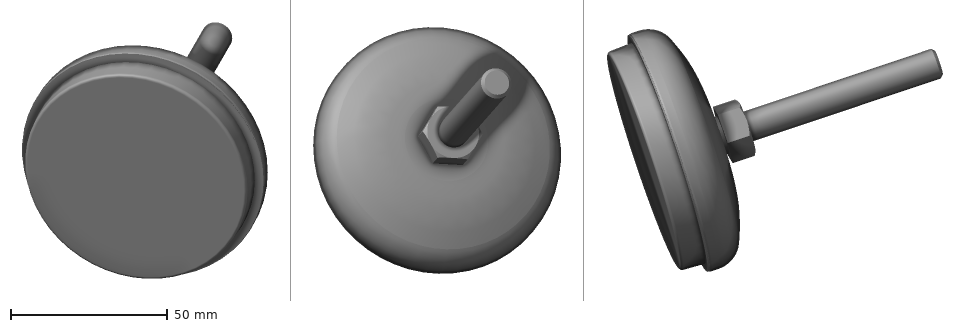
import cadquery as cq
import math

TOTAL_LENGTH = 100.0

PAD_FOOT_RADIUS = 36.9
PAD_NECK_RADIUS = 37.3
PAD_FILLET = 1.0
FLANGE_RADIUS = 40.0
FLANGE_BOTTOM = 8.2
FLANGE_BEVEL = 0.2

CAP_RADIUS = 80.5 / 2
CAP_BOTTOM = 8.7
LIP_BEVEL_WIDTH = 0.15
LIP_BEVEL_HEIGHT = 0.6
RIM_TOP = 12.0
SHOULDER_RADIUS = 9.2
CROWN_RADIUS = 50.0
CAP_TOP = 25.1

ROD_RADIUS = 5.0
ROD_CHAMFER = 1.0
COLLAR_RADIUS = 12.5 / 2

NUT_BOTTOM = 26.8
NUT_HEIGHT = 8.2
NUT_ACROSS_FLATS = 17.0
NUT_CHAMFER_HEIGHT = 0.8


def turn(profile):
    """Revolve a closed half profile (X = radius, Y = height) about the Y axis."""
    return profile.close().revolve(360, (0, 0, 0), (0, 1, 0))


def make_pad():
    """Drafted disc with a thin bevelled flange on which the cap sits."""
    pad = turn(
        cq.Workplane("XY")
        .lineTo(PAD_FOOT_RADIUS, 0)
        .lineTo(PAD_NECK_RADIUS, FLANGE_BOTTOM)
        .lineTo(FLANGE_RADIUS, FLANGE_BOTTOM)
        .lineTo(FLANGE_RADIUS - FLANGE_BEVEL, CAP_BOTTOM)
        .lineTo(0, CAP_BOTTOM)
    )
    return pad.faces("<Y").edges().fillet(PAD_FILLET).solids()


def make_cap():
    """Domed cap: straight rim, rounded shoulder and a crown arc running into a flat top."""
    shoulder_center_x = CAP_RADIUS - SHOULDER_RADIUS
    crown_center_y = CAP_TOP - CROWN_RADIUS

    center_gap = CROWN_RADIUS - SHOULDER_RADIUS
    join_angle = math.asin((RIM_TOP - crown_center_y) / center_gap)
    flat_radius = shoulder_center_x - center_gap * math.cos(join_angle)

    def on_shoulder(angle):
        return (
            shoulder_center_x + SHOULDER_RADIUS * math.cos(angle),
            RIM_TOP + SHOULDER_RADIUS * math.sin(angle),
        )

    def on_crown(angle):
        return (
            flat_radius + CROWN_RADIUS * math.cos(angle),
            crown_center_y + CROWN_RADIUS * math.sin(angle),
        )

    crown_mid_angle = (join_angle + math.pi / 2) / 2
    return turn(
        cq.Workplane("XY")
        .moveTo(0, CAP_BOTTOM)
        .lineTo(CAP_RADIUS - LIP_BEVEL_WIDTH, CAP_BOTTOM)
        .lineTo(CAP_RADIUS, CAP_BOTTOM + LIP_BEVEL_HEIGHT)
        .lineTo(CAP_RADIUS, RIM_TOP)
        .threePointArc(on_shoulder(join_angle / 2), on_shoulder(join_angle))
        .threePointArc(on_crown(crown_mid_angle), (flat_radius, CAP_TOP))
        .lineTo(0, CAP_TOP)
    )


def make_stud():
    """Round rod with a chamfered tip, standing on the cap on a wider collar."""
    return turn(
        cq.Workplane("XY")
        .moveTo(0, CAP_TOP)
        .lineTo(COLLAR_RADIUS, CAP_TOP)
        .lineTo(COLLAR_RADIUS, NUT_BOTTOM)
        .lineTo(ROD_RADIUS, NUT_BOTTOM)
        .lineTo(ROD_RADIUS, TOTAL_LENGTH - ROD_CHAMFER)
        .lineTo(ROD_RADIUS - ROD_CHAMFER, TOTAL_LENGTH)
        .lineTo(0, TOTAL_LENGTH)
    )


def make_nut():
    """Hexagon nut with corners on +X and -X, its upper corners cut by a cone."""
    corner_radius = NUT_ACROSS_FLATS / 2 / math.cos(math.pi / 6)
    nut_top = NUT_BOTTOM + NUT_HEIGHT

    hexagon = (
        cq.Workplane("XZ", origin=(0, NUT_BOTTOM, 0))
        .polygon(6, 2 * corner_radius)
        .circle(ROD_RADIUS)
        .extrude(-NUT_HEIGHT)
    )
    corner_limit = turn(
        cq.Workplane("XY")
        .moveTo(0, NUT_BOTTOM)
        .lineTo(corner_radius, NUT_BOTTOM)
        .lineTo(corner_radius, nut_top - NUT_CHAMFER_HEIGHT)
        .lineTo(NUT_ACROSS_FLATS / 2, nut_top)
        .lineTo(0, nut_top)
    )
    return hexagon.intersect(corner_limit).solids()


pad = make_pad()
cap = make_cap()
stud = make_stud()
nut = make_nut()

result = cq.Compound.makeCompound([pad.val(), cap.val(), stud.val(), nut.val()])